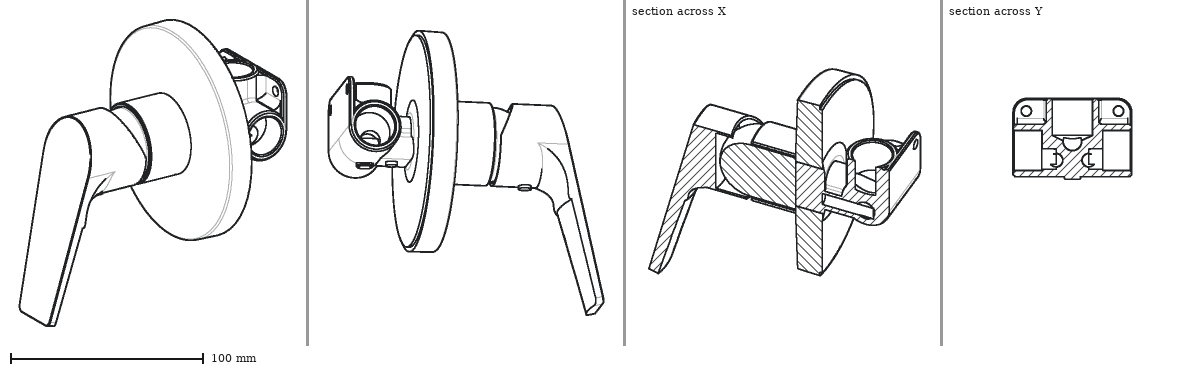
import cadquery as cq
import math


PLATE_RADIUS = 57.5
PLATE_FRONT_RADIUS = 57.1
PLATE_EDGE_ROUND = 1.0
LIP_RADIUS = 55.0
LIP_DEPTH = 1.5
PLATE_RIM_Y = -14.4
PLATE_FRONT_Y = -15.5

GRIP_RADIUS = 21.6
SLEEVE_BORE_RADIUS = 19.9
SLEEVE_FRONT_Y = -40.6
SLEEVE_CHAMFER = 0.6
DOME_RADIUS = 19.3
DOME_CENTRE_Y = -41.5

HANDLE_BACK_Y = -43.5
HANDLE_SCARF_Y = -52.9
HANDLE_BORE_RADIUS = 20.2
FACE_AXIS_Y = -78.7
FACE_ANGLE = 13.7
TIP_FACE_Z = -85.0
SIDE_START_Z = -3.2
LEVER_TOP_Z = -1.7
TIP_HALF_WIDTH = 14.3
TIP_THICKNESS = 4.3
TIP_CORNER_RADIUS = 3.5
FACE_CHAMFER = 0.5
PLUG_RADIUS = 3.3
PLUG_Y = -60.0
PLUG_END_Z = -23.0

PORT_Y = 24.5
PORT_RADIUS = 13.7
PORT_CHAMFER = 1.0
TEE_ROUND = 1.7
PORT_BORE_RADIUS = 10.4
PORT_BORE_CHAMFER = 0.7
SIDE_PORT_END_X = 30.8
SIDE_BORE_DEPTH = 15.0
INLET_HOLE_RADIUS = 5.2
INLET_HOLE_Z = -4.5
INLET_CHANNEL_RADIUS = 3.5
INLET_CHANNEL_Z = -5.0
INLET_CHANNEL_BACK_Y = 29.0
TOP_PORT_END_Z = 27.1
TOP_BORE_WALL_Z = 7.9
TOP_BORE_TIP_Z = 2.9
BRACKET_THICKNESS = 2.9
BRACKET_CORNER_RADIUS = 7.5
BRACKET_CHAMFER = 0.7
SCREW_HOLE_RADIUS = 2.6
SCREW_HOLE_X = 23.9
SCREW_HOLE_Z = 20.5
GUSSET_REACH = 4.3
GUSSET_Z = 12.5
GUSSET_END_X = 28.7
WEB_FRONT_X = 12.0
WEB_BACK_X = 15.0
WEB_REACH = 4.0
NECK_TOP_Z = 12.7
OUTLET_TUBE_RADIUS = 7.9
OUTLET_HOLE_RADIUS = 4.8
OUTLET_HOLE_BACK_Y = 31.1
INLET_TUBE_RADIUS = 5.9
INLET_TUBE_X = 8.5
NECK_ROUND = 2.7
FLANGE_RADIUS = 21.3
FLANGE_CROWN_RADIUS = 14.8
FLANGE_CROWN_Y = 1.5
BARREL_RADIUS = 17.3
BOTTOM_BOSS_RADIUS = 4.3
BOTTOM_BOSS_END_Z = -15.0
BOTTOM_BOSS_CHAMFER = 0.6
NECK_BOSS_RADIUS = 3.0
NECK_BOSS_Y = 10.4
NECK_BOSS_END_Z = -13.7

MARGIN = 7.2
TOLERANCE = 0.1
CLIP_SIZE = 144.1


def rod_y(radius, start_y, end_y, x=0.0, z=0.0):
    """Cylinder along Y between two Y values."""
    base = cq.Vector(x, min(start_y, end_y), z)
    return cq.Workplane(cq.Solid.makeCylinder(radius, abs(end_y - start_y), base, cq.Vector(0, 1, 0)))


def rod_z(radius, start_z, end_z, y):
    """Cylinder along Z on the X = 0 plane."""
    base = cq.Vector(0, y, min(start_z, end_z))
    return cq.Workplane(cq.Solid.makeCylinder(radius, abs(end_z - start_z), base, cq.Vector(0, 0, 1)))


def block(x_range, y_range, z_range):
    """Box given by its limits along each axis."""
    size = [high - low for low, high in (x_range, y_range, z_range)]
    corner = (x_range[0], y_range[0], z_range[0])
    return cq.Workplane().box(*size, centered=False).translate(corner)


def edges_within(radius, y):
    """Selector for circles around the axis that lie at one Y value."""
    low = (-radius - TOLERANCE, y - TOLERANCE, -radius - TOLERANCE)
    high = (radius + TOLERANCE, y + TOLERANCE, radius + TOLERANCE)
    return cq.selectors.BoxSelector(low, high, boundingbox=True)



def make_wall_plate():
    """Drafted disc with a stepped back, a faintly conical front and a central hole."""
    profile = [
        (BARREL_RADIUS, 0),
        (LIP_RADIUS, 0),
        (LIP_RADIUS, -LIP_DEPTH),
        (PLATE_RADIUS, -LIP_DEPTH),
        (PLATE_FRONT_RADIUS, PLATE_RIM_Y),
        (GRIP_RADIUS, PLATE_FRONT_Y),
        (BARREL_RADIUS, PLATE_FRONT_Y),
    ]
    disc = cq.Workplane("XY").polyline(profile).close().revolve(360, (0, 0), (0, 1))
    return disc.edges(edges_within(PLATE_FRONT_RADIUS, PLATE_RIM_Y)).fillet(PLATE_EDGE_ROUND)



def make_sleeve():
    """Plain tube standing on the wall plate."""
    tube = rod_y(GRIP_RADIUS, PLATE_FRONT_Y, SLEEVE_FRONT_Y)
    tube = tube.faces("<Y").chamfer(SLEEVE_CHAMFER)
    return tube.cut(rod_y(SLEEVE_BORE_RADIUS, PLATE_FRONT_Y, SLEEVE_FRONT_Y))


def make_dome():
    """Cylindrical cover inside the sleeve, closed by a hemisphere."""
    ball = cq.Workplane().sphere(DOME_RADIUS).translate((0, DOME_CENTRE_Y, 0))
    front_half = ball.intersect(rod_y(2 * DOME_RADIUS, DOME_CENTRE_Y, DOME_CENTRE_Y - 2 * DOME_RADIUS))
    return rod_y(DOME_RADIUS, PLATE_FRONT_Y, DOME_CENTRE_Y).union(front_half)



FACE_SLOPE = math.tan(math.radians(FACE_ANGLE))
TIP_FACE_Y = FACE_AXIS_Y + FACE_SLOPE * TIP_FACE_Z

SIDE_START_X = math.sqrt(GRIP_RADIUS**2 - SIDE_START_Z**2)
SIDE_SLOPE = (SIDE_START_X - TIP_HALF_WIDTH) / (SIDE_START_Z - TIP_FACE_Z)

BLEND_STATIONS = [
    ((-51.5, -2.2), (-59.1, -20.2)),
    ((-67.0, -5.3), (-66.9, -21.8)),
    ((-73.5, -11.0), (-71.8, -24.0)),
    ((-78.3, -20.3), (-75.4, -27.2)),
    ((-81.2, -31.9), (-77.8, -32.9)),
]
TIP_STATION = ((-96.7, -90.8), (-94.4, -91.4))
STATION_DEPTH = 28.8


def lever_half_width(z):
    return SIDE_START_X + SIDE_SLOPE * (z - SIDE_START_Z)


def lever_section(edge, middle):
    """Closed section whose back is an arc through the crowned middle."""
    reach = math.dist(edge, middle)
    front_y, front_z = (e + STATION_DEPTH * (e - m) / reach for e, m in zip(edge, middle))
    back_half = lever_half_width(edge[1])
    front_half = lever_half_width(front_z)
    left = cq.Vector(-back_half, *edge)
    right = cq.Vector(back_half, *edge)
    front_left = cq.Vector(-front_half, front_y, front_z)
    front_right = cq.Vector(front_half, front_y, front_z)
    return cq.Wire.assembleEdges([
        cq.Edge.makeThreePointArc(left, cq.Vector(0, *middle), right),
        cq.Edge.makeLine(right, front_right),
        cq.Edge.makeLine(front_right, front_left),
        cq.Edge.makeLine(front_left, left),
    ])


def make_face_limit():
    """Block behind the slanted face and above the square-cut lever tip."""
    limit = block((-CLIP_SIZE, CLIP_SIZE), (0, CLIP_SIZE), (0, CLIP_SIZE))
    return limit.rotate((0, 0, 0), (1, 0, 0), -FACE_ANGLE).translate((0, TIP_FACE_Y, TIP_FACE_Z))


def make_lever():
    sections = [lever_section(*station) for station in BLEND_STATIONS]
    blend = cq.Solid.makeLoft(sections)
    blade = cq.Solid.makeLoft([sections[-1], lever_section(*TIP_STATION)], True)
    lever = cq.Workplane(blend).union(cq.Workplane(blade))
    below_grip_top = block((-CLIP_SIZE, CLIP_SIZE), (TIP_FACE_Y, 0), (TIP_FACE_Z - MARGIN, LEVER_TOP_Z))
    lever = lever.intersect(below_grip_top).intersect(make_face_limit())
    for side in (-1, 1):
        corner = (side * TIP_HALF_WIDTH, TIP_FACE_Y + TIP_THICKNESS / 2, TIP_FACE_Z)
        lever = lever.edges(cq.selectors.NearestToPointSelector(corner)).fillet(TIP_CORNER_RADIUS)
    return lever


def make_handle():
    grip = rod_y(GRIP_RADIUS, HANDLE_BACK_Y, TIP_FACE_Y).intersect(make_face_limit())
    scarf = (
        cq.Workplane("YZ")
        .polyline([(HANDLE_BACK_Y, 0), (HANDLE_SCARF_Y, GRIP_RADIUS), (HANDLE_BACK_Y, GRIP_RADIUS)])
        .close()
        .extrude(GRIP_RADIUS, both=True)
    )
    plug = rod_z(PLUG_RADIUS, PLUG_END_Z, -HANDLE_BORE_RADIUS, PLUG_Y)
    bore = rod_y(HANDLE_BORE_RADIUS, HANDLE_BACK_Y, DOME_CENTRE_Y - DOME_RADIUS)
    handle = grip.union(make_lever())
    middle_z = (GRIP_RADIUS + TIP_FACE_Z) / 2
    face_middle = (0, FACE_AXIS_Y + FACE_SLOPE * middle_z, middle_z)
    handle = handle.faces(cq.selectors.NearestToPointSelector(face_middle)).chamfer(FACE_CHAMFER)
    return handle.cut(scarf).union(plug).cut(bore)



def make_neck():
    """Upper outlet tube over two joined inlet tubes, running from the ports to the flange."""
    outlet_z = NECK_TOP_Z - OUTLET_TUBE_RADIUS
    lower = (
        cq.Workplane("XZ", origin=(0, PORT_Y, -INLET_TUBE_RADIUS))
        .slot2D(2 * (INLET_TUBE_X + INLET_TUBE_RADIUS), 2 * INLET_TUBE_RADIUS)
        .extrude(PORT_Y)
    )
    web = block((-OUTLET_TUBE_RADIUS, OUTLET_TUBE_RADIUS), (0, PORT_Y), (-INLET_TUBE_RADIUS, outlet_z))
    neck = lower.union(web)
    for side in (-1, 1):
        corner = cq.selectors.NearestToPointSelector((side * OUTLET_TUBE_RADIUS, PORT_Y / 2, 0))
        neck = neck.edges(corner).fillet(NECK_ROUND)
    return neck.union(rod_y(OUTLET_TUBE_RADIUS, 0, PORT_Y, z=outlet_z))


def make_bracket():
    """Fixing plate behind the ports, with concave fillers towards the side and top tubes."""
    back_y = PORT_Y + PORT_RADIUS
    front_y = back_y - BRACKET_THICKNESS
    ends = (-SIDE_PORT_END_X, SIDE_PORT_END_X)
    plate = block(ends, (front_y, back_y), (0, TOP_PORT_END_Z))
    plate = plate.edges("|Y and >Z").fillet(BRACKET_CORNER_RADIUS)
    plate = plate.faces("<Y or >Y").edges("not <Z").chamfer(BRACKET_CHAMFER)
    gusset = (
        cq.Workplane("YZ")
        .moveTo(front_y, 0)
        .lineTo(front_y, GUSSET_Z + GUSSET_REACH)
        .radiusArc((front_y - GUSSET_REACH, GUSSET_Z), GUSSET_REACH)
        .lineTo(front_y - GUSSET_REACH, 0)
        .close()
        .extrude(GUSSET_END_X, both=True)
    )
    web_height = TOP_PORT_END_Z - PORT_CHAMFER
    web_front_y = front_y - WEB_REACH
    web = (
        cq.Workplane("XY")
        .moveTo(-WEB_BACK_X, front_y)
        .radiusArc((-WEB_FRONT_X, web_front_y), WEB_REACH)
        .lineTo(WEB_FRONT_X, web_front_y)
        .radiusArc((WEB_BACK_X, front_y), WEB_REACH)
        .close()
        .extrude(web_height)
    )
    return plate.union(gusset).union(web)


def make_flange():
    """Crowned flange behind the wall plate and the barrel passing through the plate."""
    profile = [
        (0, FLANGE_CROWN_Y),
        (FLANGE_CROWN_RADIUS, FLANGE_CROWN_Y),
        (FLANGE_RADIUS, 0),
        (BARREL_RADIUS, 0),
        (BARREL_RADIUS, PLATE_FRONT_Y),
        (0, PLATE_FRONT_Y),
    ]
    return cq.Workplane("XY").polyline(profile).close().revolve(360, (0, 0), (0, 1))


def make_bosses():
    """Small round bosses below the ports and below the neck."""
    port_boss = rod_z(BOTTOM_BOSS_RADIUS, BOTTOM_BOSS_END_Z, 0, PORT_Y).faces("<Z").chamfer(BOTTOM_BOSS_CHAMFER)
    return port_boss.union(rod_z(NECK_BOSS_RADIUS, NECK_BOSS_END_Z, -INLET_TUBE_RADIUS, NECK_BOSS_Y))


def make_side_bore(side):
    """Chamfered side port bore and an inlet hole in its floor that meets a channel along the neck."""
    inner_x = SIDE_PORT_END_X - SIDE_BORE_DEPTH
    mouth_x = SIDE_PORT_END_X - PORT_BORE_CHAMFER
    profile = [
        (inner_x, 0),
        (inner_x, PORT_BORE_RADIUS),
        (mouth_x, PORT_BORE_RADIUS),
        (SIDE_PORT_END_X, PORT_BORE_RADIUS + PORT_BORE_CHAMFER),
        (SIDE_PORT_END_X, 0),
    ]
    bore = cq.Workplane("XZ").polyline(profile).close().revolve(360, (0, 0), (1, 0))
    inlet = cq.Workplane("YZ").center(0, INLET_HOLE_Z).circle(INLET_HOLE_RADIUS).extrude(inner_x - INLET_TUBE_X)
    cutter = bore.union(inlet.translate((INLET_TUBE_X, 0, 0))).translate((0, PORT_Y, 0))
    channel = rod_y(INLET_CHANNEL_RADIUS, 0, INLET_CHANNEL_BACK_Y, INLET_TUBE_X, INLET_CHANNEL_Z)
    cutter = cutter.union(channel)
    return cutter if side > 0 else cutter.mirror("YZ")


def make_top_bore():
    """Chamfered top port bore with a conical floor."""
    profile = [
        (0, TOP_BORE_TIP_Z),
        (PORT_BORE_RADIUS, TOP_BORE_WALL_Z),
        (PORT_BORE_RADIUS, TOP_PORT_END_Z - PORT_BORE_CHAMFER),
        (PORT_BORE_RADIUS + PORT_BORE_CHAMFER, TOP_PORT_END_Z),
        (0, TOP_PORT_END_Z),
    ]
    bore = cq.Workplane("XZ").polyline(profile).close().revolve(360, (0, 0), (0, 1))
    return bore.translate((0, PORT_Y, 0))


def make_valve_body():
    side_tube = (
        cq.Workplane("YZ")
        .center(PORT_Y, 0)
        .circle(PORT_RADIUS)
        .extrude(SIDE_PORT_END_X, both=True)
        .faces("<X or >X")
        .chamfer(PORT_CHAMFER)
    )
    top_tube = rod_z(PORT_RADIUS, 0, TOP_PORT_END_Z, PORT_Y).faces(">Z").chamfer(PORT_CHAMFER)
    tee = side_tube.union(top_tube)
    junction = cq.selectors.BoxSelector(
        (-PORT_RADIUS - TOLERANCE, PORT_Y - PORT_RADIUS - TOLERANCE, -TOLERANCE),
        (PORT_RADIUS + TOLERANCE, PORT_Y + PORT_RADIUS + TOLERANCE, PORT_RADIUS + TOLERANCE),
    )
    tee = tee.edges(junction).fillet(TEE_ROUND)
    body = tee
    for addition in (make_bracket(), make_neck(), make_flange(), make_bosses()):
        body = body.union(addition)
    for side in (-1, 1):
        body = body.cut(make_side_bore(side))
        screw_hole = rod_y(SCREW_HOLE_RADIUS, PORT_Y, PORT_Y + PORT_RADIUS, side * SCREW_HOLE_X, SCREW_HOLE_Z)
        body = body.cut(screw_hole)
    outlet_hole = rod_y(OUTLET_HOLE_RADIUS, 0, OUTLET_HOLE_BACK_Y, z=NECK_TOP_Z - OUTLET_TUBE_RADIUS)
    return body.cut(make_top_bore()).cut(outlet_hole)


valve_body = make_valve_body()
wall_plate = make_wall_plate()
sleeve = make_sleeve()
dome = make_dome()
handle = make_handle()

result = cq.Compound.makeCompound([
    valve_body.val(),
    wall_plate.val(),
    sleeve.val(),
    dome.val(),
    handle.val(),
])